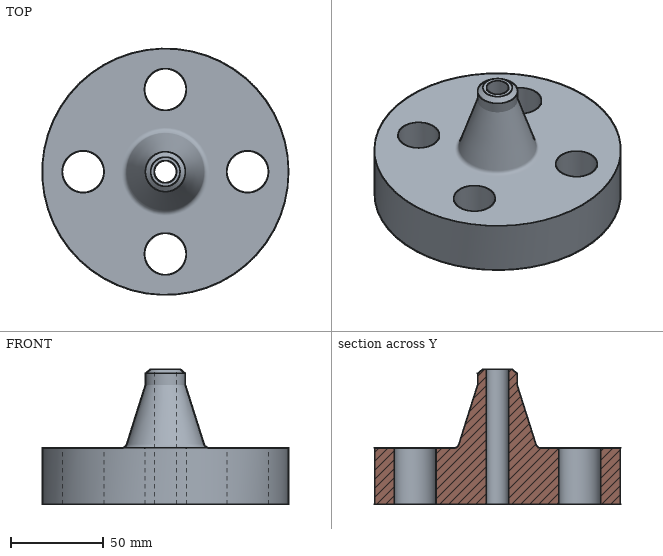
import cadquery as cq

flange_diameter = 133.3
flange_thickness = 30.5
total_height = 73.2

bolt_hole_diameter = 22.4
bolt_circle_diameter = 88.9
bolt_hole_count = 4

hub_base_diameter = 43.2
neck_diameter = 21.6
tip_diameter = 15.9
bevel_height = 2.4
neck_straight_height = 6.1
hub_fillet_radius = 2.9
bore_diameter = 11.9

neck_top = total_height - bevel_height
neck_bottom = neck_top - neck_straight_height


def make_flange():
    return cq.Workplane("XY").circle(flange_diameter / 2).extrude(flange_thickness)


def make_neck():
    """Revolve the half section of the hub and neck about the Z axis."""
    return (
        cq.Workplane("XZ")
        .moveTo(0, flange_thickness)
        .lineTo(hub_base_diameter / 2, flange_thickness)
        .lineTo(neck_diameter / 2, neck_bottom)
        .lineTo(neck_diameter / 2, neck_top)
        .lineTo(tip_diameter / 2, total_height)
        .lineTo(0, total_height)
        .close()
        .revolve(360, (0, 0, 0), (0, 1, 0))
    )


def make_bolt_holes():
    return (
        cq.Workplane("XY")
        .polarArray(bolt_circle_diameter / 2, 0, 360, bolt_hole_count)
        .circle(bolt_hole_diameter / 2)
        .extrude(flange_thickness)
    )


def make_bore():
    return cq.Workplane("XY").circle(bore_diameter / 2).extrude(total_height)


body = make_flange().union(make_neck())

body = body.faces("%CONE").faces("<Z").edges("<Z").fillet(hub_fillet_radius)

result = body.cut(make_bolt_holes()).cut(make_bore())